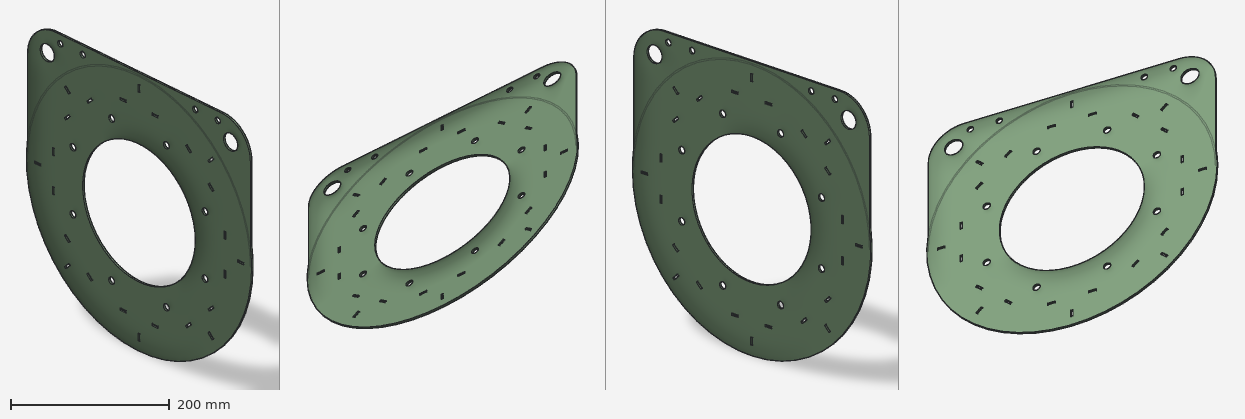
import cadquery as cq

thickness = 3.0
disc_diameter = 400.0
overall_height = 403.0
disc_radius = disc_diameter / 2
head_top = overall_height - disc_radius

head_width = 395.7
head_corner_radius = 50.0

bore_diameter = 200.0
bolt_hole_diameter = 10.0
bolt_circle_radius = 127.0
bolt_count = 8

lifting_hole_diameter = 25.0
lifting_hole_x = 163.0
lifting_hole_z = 167.2
mounting_hole_diameter = 9.0
mounting_hole_x = [100.0, 140.0]
mounting_hole_z = 189.5

slot_group_count = 8
slot_length = 10.5
slot_width = 3.0
radial_slot_distance = 180.0
tangential_slot_distance = 152.5
tangential_slot_offset = 28.2


def front_plane():
    """Sketch plane on the front face: local x is X, local y is Z, extrude(-d) goes into the plate."""
    return cq.Workplane("XZ", origin=(0, -thickness / 2, 0))


def mirrored(x, z):
    return [(-x, z), (x, z)]


def disc_blank():
    return front_plane().circle(disc_radius).extrude(-thickness)


def head_blank():
    """Round-cornered half plate whose arched lower edge overlaps the rim of the disc."""
    block = (
        front_plane()
        .center(0, head_top / 2)
        .rect(head_width, head_top)
        .extrude(-thickness)
        .edges("|Y and >Z")
        .fillet(head_corner_radius)
    )
    arch = front_plane().circle(head_width / 2).extrude(-thickness)
    return block.cut(arch)


def head_holes():
    mounting_points = []
    for x in mounting_hole_x:
        mounting_points += mirrored(x, mounting_hole_z)
    lifting = (
        front_plane()
        .pushPoints(mirrored(lifting_hole_x, lifting_hole_z))
        .circle(lifting_hole_diameter / 2)
        .extrude(-thickness)
    )
    mounting = front_plane().pushPoints(mounting_points).circle(mounting_hole_diameter / 2).extrude(-thickness)
    return lifting.add(mounting).combine()


def bore_and_bolt_holes():
    bore = front_plane().circle(bore_diameter / 2).extrude(-thickness)
    half_pitch = 360 / bolt_count / 2
    bolts = (
        front_plane()
        .polarArray(bolt_circle_radius, half_pitch, 360, bolt_count)
        .circle(bolt_hole_diameter / 2)
        .extrude(-thickness)
    )
    return bore.add(bolts).combine()


def slot_group(angle):
    """One radial slot with a pair of tangential slots further in, turned about the disc axis."""
    radial = (
        front_plane()
        .center(0, radial_slot_distance)
        .rect(slot_width, slot_length)
        .extrude(-thickness)
    )
    tangential = (
        front_plane()
        .pushPoints(mirrored(tangential_slot_offset, tangential_slot_distance))
        .rect(slot_length, slot_width)
        .extrude(-thickness)
    )
    return radial.add(tangential).combine().rotate((0, 0, 0), (0, 1, 0), angle)


disc = disc_blank().cut(bore_and_bolt_holes())
for index in range(slot_group_count):
    disc = disc.cut(slot_group(index * 360 / slot_group_count))

head = head_blank().cut(head_holes())

result = disc.union(head, clean=False)